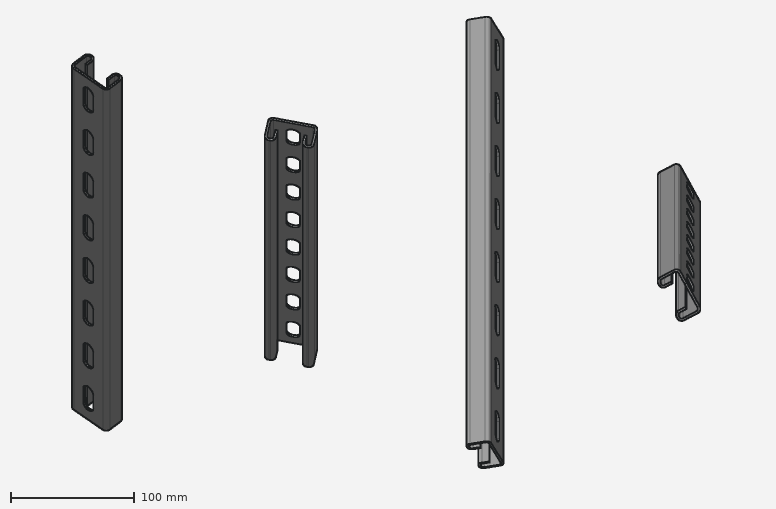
import cadquery as cq

LENGTH = 400.0
WIDTH = 41.0
DEPTH = 21.0

THICKNESS = 2.0
OUTER_RADIUS = 4.0
INNER_RADIUS = OUTER_RADIUS - THICKNESS

MOUTH_WIDTH = 22.0
LIP_DEPTH = 10.5

SLOT_COUNT = 8
SLOT_PITCH = LENGTH / SLOT_COUNT
SLOT_WIDTH = 11.0
SLOT_LENGTH = 27.0

WEB_Y = -DEPTH / 2
MOUTH_Y = DEPTH / 2
WALL_X = -WIDTH / 2


def make_half_channel():
    """Left half of the bent sheet, from the middle of the web to the lip end."""
    inner_web_y = WEB_Y + THICKNESS
    inner_wall_x = WALL_X + THICKNESS
    inner_mouth_y = MOUTH_Y - THICKNESS
    lip_x = -MOUTH_WIDTH / 2
    inner_lip_x = lip_x - THICKNESS
    lip_end_y = MOUTH_Y - LIP_DEPTH

    wall_bend_x = WALL_X + OUTER_RADIUS
    lip_bend_x = lip_x - OUTER_RADIUS
    web_bend_y = WEB_Y + OUTER_RADIUS
    mouth_bend_y = MOUTH_Y - OUTER_RADIUS

    return (
        cq.Workplane("XY")
        .moveTo(0, WEB_Y)
        .lineTo(wall_bend_x, WEB_Y)
        .radiusArc((WALL_X, web_bend_y), OUTER_RADIUS)
        .lineTo(WALL_X, mouth_bend_y)
        .radiusArc((wall_bend_x, MOUTH_Y), OUTER_RADIUS)
        .lineTo(lip_bend_x, MOUTH_Y)
        .radiusArc((lip_x, mouth_bend_y), OUTER_RADIUS)
        .lineTo(lip_x, lip_end_y)
        .lineTo(inner_lip_x, lip_end_y)
        .lineTo(inner_lip_x, mouth_bend_y)
        .radiusArc((lip_bend_x, inner_mouth_y), -INNER_RADIUS)
        .lineTo(wall_bend_x, inner_mouth_y)
        .radiusArc((inner_wall_x, mouth_bend_y), -INNER_RADIUS)
        .lineTo(inner_wall_x, web_bend_y)
        .radiusArc((wall_bend_x, inner_web_y), -INNER_RADIUS)
        .lineTo(0, inner_web_y)
        .close()
        .extrude(LENGTH)
    )


def make_slots():
    """Evenly pitched lengthwise slots that pass through the web only."""
    centers = [(0, (index + 0.5) * SLOT_PITCH) for index in range(SLOT_COUNT)]
    return (
        cq.Workplane("XZ", origin=(0, WEB_Y + THICKNESS, 0))
        .pushPoints(centers)
        .slot2D(SLOT_LENGTH, SLOT_WIDTH, 90)
        .extrude(THICKNESS)
    )


half_channel = make_half_channel()
channel = half_channel.union(half_channel.mirror("YZ")).clean()
result = channel.cut(make_slots())